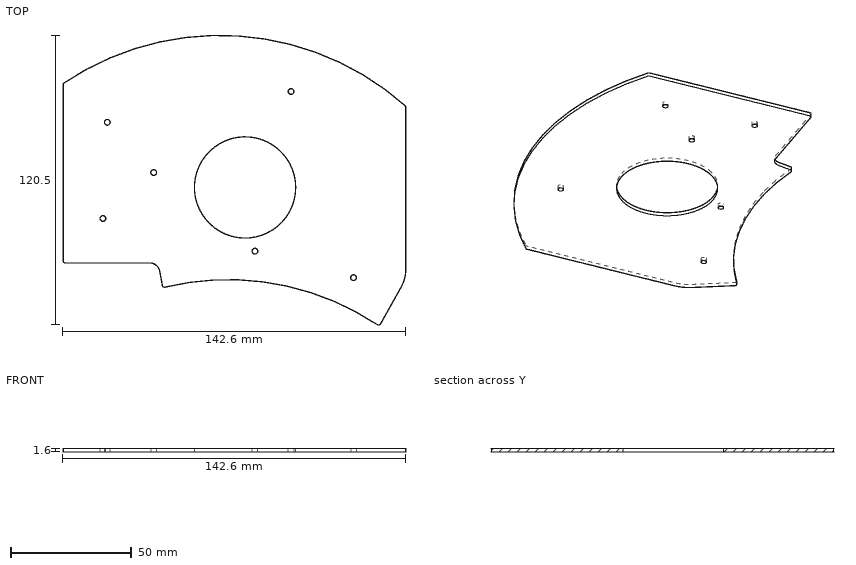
import cadquery as cq
import math

THICKNESS = 1.6
BORE_DIAMETER = 42.02
SCREW_HOLE_DIAMETER = 2.3

PLATE_WIDTH = 142.59
LEFT_X = -75.7
RIGHT_X = LEFT_X + PLATE_WIDTH
LEDGE_Y = -31.45

OUTER_CENTER = (-10.46, -52.79)
OUTER_RADIUS = 116.07
INNER_CENTER = (-7.0, -150.28)
INNER_RADIUS = 111.9

STEP_TOP_X = -36.17
STEP_TIP_X = -34.25

SLANT_TOP_Y = -37.97
SLANT_TIP_X = 55.84

CORNER_RADIUS = 1.0
STEP_RADIUS = 4.0
SLANT_RADIUS = 15.0

SCREW_HOLE_CENTERS = [
    (19.1, 39.9),
    (-57.3, 27.1),
    (-38.0, 6.2),
    (-59.1, -12.9),
    (4.1, -26.5),
    (45.1, -37.5),
]


def arc_point(center, radius, x):
    """Point at position x on the upper half of a circle."""
    offset = x - center[0]
    return (x, center[1] + math.sqrt(radius**2 - offset**2))


def outer_arc_point(x):
    return arc_point(OUTER_CENTER, OUTER_RADIUS, x)


def inner_arc_point(x):
    return arc_point(INNER_CENTER, INNER_RADIUS, x)


def round_corner(plate, corner, radius):
    """Round the through-thickness edge nearest to a corner of the outline."""
    nearest = cq.selectors.NearestToPointSelector((*corner, THICKNESS / 2))
    return plate.edges("|Z").edges(nearest).fillet(radius)


def make_plate():
    lower_left = (LEFT_X, LEDGE_Y)
    upper_left = outer_arc_point(LEFT_X)
    upper_right = outer_arc_point(RIGHT_X)
    slant_top = (RIGHT_X, SLANT_TOP_Y)
    slant_tip = inner_arc_point(SLANT_TIP_X)
    step_tip = inner_arc_point(STEP_TIP_X)
    step_top = (STEP_TOP_X, LEDGE_Y)

    plate = (
        cq.Workplane("XY")
        .moveTo(*lower_left)
        .lineTo(*upper_left)
        .threePointArc(outer_arc_point(OUTER_CENTER[0]), upper_right)
        .lineTo(*slant_top)
        .lineTo(*slant_tip)
        .threePointArc(inner_arc_point(INNER_CENTER[0]), step_tip)
        .lineTo(*step_top)
        .close()
        .extrude(THICKNESS)
    )

    for corner in (lower_left, upper_left, upper_right, slant_tip, step_tip):
        plate = round_corner(plate, corner, CORNER_RADIUS)
    plate = round_corner(plate, step_top, STEP_RADIUS)
    return round_corner(plate, slant_top, SLANT_RADIUS)


def cut_holes(plate):
    bore = cq.Workplane("XY").circle(BORE_DIAMETER / 2).extrude(THICKNESS)
    screw_holes = (
        cq.Workplane("XY")
        .pushPoints(SCREW_HOLE_CENTERS)
        .circle(SCREW_HOLE_DIAMETER / 2)
        .extrude(THICKNESS)
    )
    return plate.cut(bore).cut(screw_holes)


result = cut_holes(make_plate())